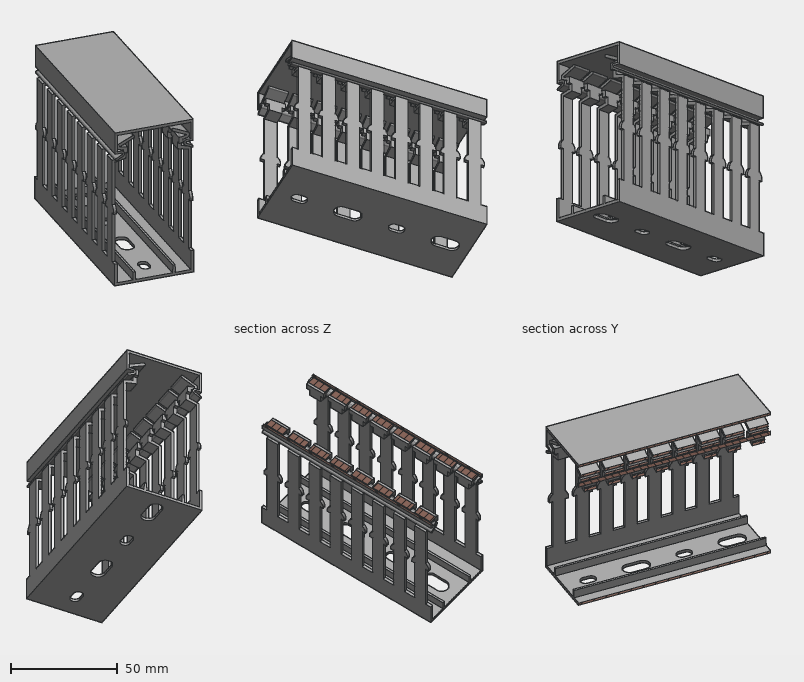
import cadquery as cq
import math

LENGTH = 100.0
DUCT_WIDTH = 40.1
HEIGHT = 80.0

WALL = 1.5

SHOULDER_Z = 64.3
NECK_WIDTH = 30.0
NECK_WALL = 2.0
NECK_TOP_Z = 71.1
SHOULDER_RISE = 1.4
SHOULDER_DROP = 1.2

ARM_THICKNESS = 1.5
ARM_ELBOW_Y = 17.5
ARM_ELBOW_LOW_Z = 71.1
ARM_ELBOW_HIGH_Z = 72.3
ARM_TIP = (10.2, 75.6)

FINGER_COUNT = 8
FINGER_WIDTH = 6.5
SLOT_BOTTOM_Z = 11.4
FINGER_PITCH = LENGTH / FINGER_COUNT

HEAD_WIDTH = 10.0
HEAD_BOTTOM_Z = 67.9

EAR_SPAN = HEAD_WIDTH
EAR_BOTTOM_Z = 36.9
EAR_STRAIGHT = 1.0
EAR_RADIUS = 4.1

RIB_INNER_Y = 9.3
RIB_FOOT_THICKNESS = 1.5
RIB_TAPER = 0.2
RIB_TOP_Z = 5.5

MOUNT_PITCH = 25.0
LARGE_SLOT_LENGTH = 14.0
LARGE_SLOT_WIDTH = 7.0
SMALL_SLOT_LENGTH = 8.0
SMALL_SLOT_WIDTH = 5.0

COVER_WIDTH = 39.5
COVER_TOP = 1.5
COVER_WALL = 1.2
COVER_WALL_BOTTOM_Z = 68.9

HOOK_THICKNESS = 1.1
HOOK_INNER_RADIUS = 0.5
HOOK_OUTER_RADIUS = HOOK_INNER_RADIUS + HOOK_THICKNESS
HOOK_SLOPE = 27.0
HOOK_BEND_Y = NECK_WIDTH / 2 + HOOK_OUTER_RADIUS
HOOK_BEND_Z = COVER_WALL_BOTTOM_Z - HOOK_INNER_RADIUS
HOOK_ARM_LENGTH = 3.4


def extrude_outline(points):
    """Extrude a (Y, Z) outline over the whole length."""
    return cq.Workplane("YZ").polyline(points).close().extrude(LENGTH)


def strip(start, end, thickness):
    """Full-length strip between two (Y, Z) points, with round edges."""
    run = end[0] - start[0]
    rise = end[1] - start[1]
    middle = ((start[0] + end[0]) / 2, (start[1] + end[1]) / 2)
    return (
        cq.Workplane("YZ")
        .center(*middle)
        .slot2D(math.hypot(run, rise) + thickness, thickness, math.degrees(math.atan2(rise, run)))
        .extrude(LENGTH)
    )


def bent_strip(points, thickness):
    """Chain of strips through (Y, Z) points, rounded at the bends and at both ends."""
    chain = strip(points[0], points[1], thickness)
    for start, end in zip(points[1:], points[2:]):
        chain = chain.union(strip(start, end, thickness))
    return chain


def both_sides(half):
    """Join a +Y half with its mirror image."""
    return half.union(half.mirror("XZ"))


def duct_half():
    outer = DUCT_WIDTH / 2
    inner = outer - WALL
    neck_outer = NECK_WIDTH / 2
    neck_inner = neck_outer - NECK_WALL
    arm_root = (neck_outer - ARM_THICKNESS / 2, NECK_TOP_Z - ARM_THICKNESS / 2)
    wall = extrude_outline([
        (0, 0),
        (outer, 0),
        (outer, SHOULDER_Z),
        (neck_outer, SHOULDER_Z + SHOULDER_RISE),
        (neck_outer, NECK_TOP_Z),
        (neck_inner, NECK_TOP_Z),
        (neck_inner, SHOULDER_Z),
        (inner, SHOULDER_Z - SHOULDER_DROP),
        (inner, WALL),
        (0, WALL),
    ])
    rib_outer = RIB_INNER_Y + RIB_FOOT_THICKNESS
    rib = extrude_outline([
        (RIB_INNER_Y, WALL),
        (rib_outer, WALL),
        (rib_outer - RIB_TAPER, RIB_TOP_Z),
        (RIB_INNER_Y + RIB_TAPER, RIB_TOP_Z),
    ])
    arm = bent_strip(
        [arm_root, (ARM_ELBOW_Y, ARM_ELBOW_LOW_Z), (ARM_ELBOW_Y, ARM_ELBOW_HIGH_Z), ARM_TIP],
        ARM_THICKNESS,
    )
    return wall.union(rib).union(arm)


def gap_row(finger_width, bottom_z, top_z):
    """Gaps that leave fingers of the given width, cut through both walls, half a gap at each end."""
    return (
        cq.Workplane("XY")
        .workplane(offset=bottom_z)
        .pushPoints([(index * FINGER_PITCH, 0) for index in range(FINGER_COUNT + 1)])
        .rect(FINGER_PITCH - finger_width, DUCT_WIDTH)
        .extrude(top_z - bottom_z)
    )


def ear_pair(x, outer_y):
    """Ears on both edges of one finger, as a flat plate running from outer_y towards +Y."""
    half_span = EAR_SPAN / 2
    half_finger = FINGER_WIDTH / 2
    arc_z = EAR_BOTTOM_Z + EAR_STRAIGHT
    centre_x = half_span - EAR_RADIUS
    top_z = arc_z + math.sqrt(EAR_RADIUS**2 - (half_finger - centre_x)**2)
    middle_turn = math.acos((half_finger - centre_x) / EAR_RADIUS) / 2
    middle_x = centre_x + EAR_RADIUS * math.cos(middle_turn)
    middle_z = arc_z + EAR_RADIUS * math.sin(middle_turn)
    return (
        cq.Workplane("XZ")
        .moveTo(-half_span, EAR_BOTTOM_Z)
        .lineTo(half_span, EAR_BOTTOM_Z)
        .lineTo(half_span, arc_z)
        .threePointArc((middle_x, middle_z), (half_finger, top_z))
        .lineTo(-half_finger, top_z)
        .threePointArc((-middle_x, middle_z), (-half_span, arc_z))
        .close()
        .extrude(-WALL)
        .translate((x, outer_y, 0))
    )


def mounting_slots(first_x, length, width):
    """Two equal slots through the floor, with room for one of the other size between them."""
    return (
        cq.Workplane("XY")
        .pushPoints([(first_x, 0), (first_x + 2 * MOUNT_PITCH, 0)])
        .slot2D(length, width)
        .extrude(WALL)
    )


def make_duct():
    first_small_slot = MOUNT_PITCH / 2 + MOUNT_PITCH
    duct = both_sides(duct_half())
    duct = duct.cut(gap_row(FINGER_WIDTH, SLOT_BOTTOM_Z, HEAD_BOTTOM_Z))
    duct = duct.cut(gap_row(HEAD_WIDTH, HEAD_BOTTOM_Z, HEIGHT))
    duct = duct.cut(mounting_slots(MOUNT_PITCH / 2, LARGE_SLOT_LENGTH, LARGE_SLOT_WIDTH))
    duct = duct.cut(mounting_slots(first_small_slot, SMALL_SLOT_LENGTH, SMALL_SLOT_WIDTH))
    for index in range(FINGER_COUNT):
        x = (index + 0.5) * FINGER_PITCH
        for outer_y in (-DUCT_WIDTH / 2, DUCT_WIDTH / 2 - WALL):
            duct = duct.union(ear_pair(x, outer_y))
    return duct


def hook_point(radius, angle, along=0.0):
    """Point at a polar position about the bend, moved along the arm direction towards the tip."""
    turn = math.radians(angle)
    slope = math.radians(HOOK_SLOPE)
    return (
        HOOK_BEND_Y + radius * math.cos(turn) + along * math.cos(slope),
        HOOK_BEND_Z + radius * math.sin(turn) - along * math.sin(slope),
    )


def make_cover():
    outer = COVER_WIDTH / 2
    inner = outer - COVER_WALL
    arm_angle = 270 - HOOK_SLOPE
    bend_middle = (90 + arm_angle) / 2
    middle_radius = HOOK_INNER_RADIUS + HOOK_THICKNESS / 2
    half = (
        cq.Workplane("YZ")
        .moveTo(0, HEIGHT)
        .lineTo(outer, HEIGHT)
        .lineTo(outer, COVER_WALL_BOTTOM_Z)
        .lineTo(*hook_point(HOOK_INNER_RADIUS, 90))
        .threePointArc(hook_point(HOOK_INNER_RADIUS, bend_middle), hook_point(HOOK_INNER_RADIUS, arm_angle))
        .lineTo(*hook_point(HOOK_INNER_RADIUS, arm_angle, HOOK_ARM_LENGTH))
        .threePointArc(
            hook_point(middle_radius, arm_angle, HOOK_ARM_LENGTH + HOOK_THICKNESS / 2),
            hook_point(HOOK_OUTER_RADIUS, arm_angle, HOOK_ARM_LENGTH),
        )
        .lineTo(*hook_point(HOOK_OUTER_RADIUS, arm_angle))
        .threePointArc(hook_point(HOOK_OUTER_RADIUS, bend_middle), hook_point(HOOK_OUTER_RADIUS, 90))
        .lineTo(inner, COVER_WALL_BOTTOM_Z + HOOK_THICKNESS)
        .lineTo(inner, HEIGHT - COVER_TOP)
        .lineTo(0, HEIGHT - COVER_TOP)
        .close()
        .extrude(LENGTH)
    )
    return both_sides(half)


duct = make_duct()
cover = make_cover()
result = cq.Compound.makeCompound([duct.val(), cover.val()])